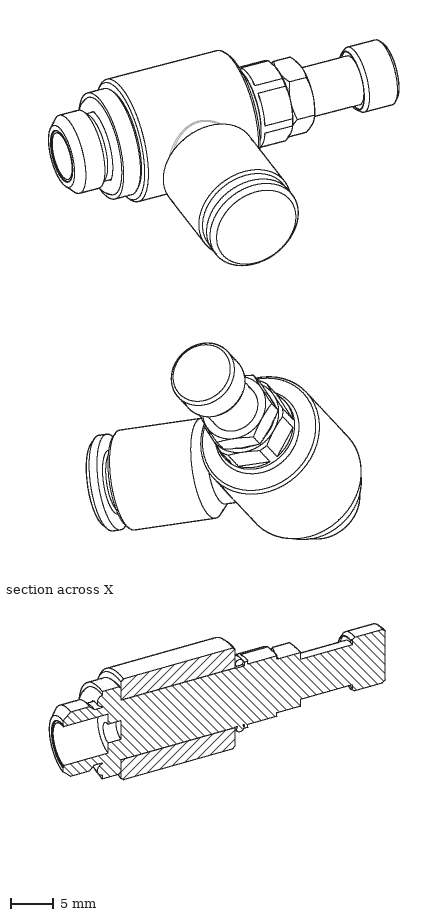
import cadquery as cq
import math


overall_width = 30.2
sleeve_dia = 15.0
sleeve_length = 15.0
sleeve_chamfer = 0.35
bore_dia = 8.75

port_neck_dia = 9.0
port_dia = 12.0
port_cone_start = 7.7
port_cone_end = port_cone_start + (port_dia - port_neck_dia) / 2
port_end = 19.75
port_chamfer = 0.35
port_root_fillet = 0.15

ring_neck_dia = 7.1
ring_dia = 11.5
ring_flare = 0.3
ring_flange_start = 21.1
ring_end = overall_width - sleeve_dia / 2
ring_chamfer = 0.6

collar_dia = 13.0
collar_top = -sleeve_length / 2
collar_chamfer = 0.25
collar_bottom = -9.93
seal_dia = 12.0
seal_section = 1.85
seal_bottom = -10.6
undercut_dia = 8.3
undercut_bottom = -10.95
thread_dia = 9.6
thread_end_chamfer = 1.0
spindle_bottom = -15.1
port_bore_dia = 5.7
counterbore_dia = 6.15
mouth_chamfer = 0.1
port_bore_depth = 5.9
needle_hole_dia = 2.7
needle_hole_depth = 1.7

clip_top = 8.65
clip_dia = 10.5
clip_section = 1.0
clip_gap = 0.5
flange_dia = 9.85
hex_bottom = 9.15
hex_top = 12.95
hex_flats = 9.0
nut_bottom = 13.15
nut_top = 16.05
nut_flats = 8.0
hex_bevel_angle = 30
stem_dia = 6.0
knob_dia = 8.0
knob_bottom = 22.65
knob_top = 27.15
knob_top_chamfer = 0.4
knob_bottom_dia = 7.25
knob_recess_dia = 7.1
knob_recess_depth = 0.2
knob_bottom_chamfer_axial = 0.5


def revolve_y(outline):
    """Solid of revolution about Y from (radius, y) points."""
    return cq.Workplane("XY").polyline(outline).close().revolve(360, (0, 0, 0), (0, 1, 0))


def rod(dia, start, end):
    """Cylinder on the Y axis between two stations."""
    return cq.Workplane("XZ", origin=(0, start, 0)).circle(dia / 2).extrude(start - end)


def torus_y(outer_dia, section_dia, station):
    """Ring of round section about the Y axis."""
    axis = cq.Vector(0, 1, 0)
    centre = cq.Vector(0, station, 0)
    ring = cq.Solid.makeTorus((outer_dia - section_dia) / 2, section_dia / 2, centre, axis)
    return cq.Workplane(ring)


def make_sleeve():
    """Chamfered cylinder, solid before the spindle bore is cut."""
    sleeve = rod(sleeve_dia, -sleeve_length / 2, sleeve_length / 2)
    return sleeve.faces("<Y or >Y").chamfer(sleeve_chamfer)


def make_port():
    """Tube port and release ring, revolved about X."""
    outline = [
        (0, 0),
        (0, port_neck_dia / 2),
        (port_cone_start, port_neck_dia / 2),
        (port_cone_end, port_dia / 2),
        (port_end - port_chamfer, port_dia / 2),
        (port_end, port_dia / 2 - port_chamfer),
        (port_end, ring_neck_dia / 2),
        (ring_flange_start - ring_flare, ring_neck_dia / 2),
        (ring_flange_start, ring_neck_dia / 2 + ring_flare),
        (ring_flange_start, ring_dia / 2),
        (ring_end - ring_chamfer, ring_dia / 2),
        (ring_end, ring_dia / 2 - ring_chamfer),
        (ring_end, 0),
    ]
    return cq.Workplane("XY").polyline(outline).close().revolve(360, (0, 0, 0), (1, 0, 0))


def make_housing():
    """Sleeve and tube port as one solid, bored for the spindle journal."""
    bore = rod(bore_dia, -sleeve_length / 2, sleeve_length / 2)
    housing = make_sleeve().union(make_port())
    root_edges = housing.edges().filter(lambda edge: edge.geomType() == "BSPLINE")
    return root_edges.fillet(port_root_fillet).cut(bore)


def make_threaded_end():
    """Collar, round seal set into its underside, undercut and thread envelope."""
    thread_top = undercut_bottom - (thread_dia - undercut_dia) / 2
    outline = [
        (0, collar_top),
        (collar_dia / 2 - collar_chamfer, collar_top),
        (collar_dia / 2, collar_top - collar_chamfer),
        (collar_dia / 2, collar_bottom),
        (undercut_dia / 2, collar_bottom),
        (undercut_dia / 2, undercut_bottom),
        (thread_dia / 2, thread_top),
        (thread_dia / 2, spindle_bottom + thread_end_chamfer),
        (thread_dia / 2 - thread_end_chamfer, spindle_bottom),
        (0, spindle_bottom),
    ]
    seal = torus_y(seal_dia, seal_section, seal_bottom + seal_section / 2)
    return revolve_y(outline).union(seal)


def make_port_bore():
    """Flow bore with a chamfered shallow counterbore and the smaller needle hole behind it."""
    counterbore_floor = spindle_bottom + mouth_chamfer
    bore_floor = spindle_bottom + port_bore_depth
    outline = [
        (0, spindle_bottom),
        (counterbore_dia / 2 + mouth_chamfer, spindle_bottom),
        (counterbore_dia / 2, counterbore_floor),
        (port_bore_dia / 2, counterbore_floor),
        (port_bore_dia / 2, bore_floor),
        (needle_hole_dia / 2, bore_floor),
        (needle_hole_dia / 2, bore_floor + needle_hole_depth),
        (0, bore_floor + needle_hole_depth),
    ]
    return revolve_y(outline)


def make_clip():
    """Round-wire retaining clip above the sleeve, with one gap on the +Z side."""
    clip_middle = clip_top - clip_section / 2
    clip = torus_y(clip_dia, clip_section, clip_middle)
    gap = cq.Workplane("XY", origin=(0, clip_middle, 0)).rect(clip_gap, clip_section)
    return clip.cut(gap.extrude(clip_dia / 2))


def hex_corner_dia(flats):
    """Width across the corners of a hexagon with the given width across flats."""
    return flats / math.cos(math.pi / 6)


def hex_prism(flats, start, end):
    """Hexagon with corners on +X and -X between two stations along Y."""
    base = cq.Workplane("XZ", origin=(0, start, 0)).polygon(6, hex_corner_dia(flats))
    return base.extrude(start - end)


def bevel_envelope(flats, dia, start, end, bevel_start):
    """Cylinder bevelled at its upper end, and at its start if asked, down to the width across flats."""
    drop = (dia - flats) / 2 * math.tan(math.radians(hex_bevel_angle))
    lower = [(flats / 2, start), (dia / 2, start + drop)] if bevel_start else [(dia / 2, start)]
    upper = [(dia / 2, end - drop), (flats / 2, end)]
    return revolve_y([(0, start), *lower, *upper, (0, end)])


def make_hex_body():
    hexagon = hex_prism(hex_flats, hex_bottom, hex_top)
    envelope = bevel_envelope(hex_flats, flange_dia, hex_bottom, hex_top, bevel_start=False)
    return hexagon.intersect(envelope)


def make_nut():
    corner_dia = hex_corner_dia(nut_flats)
    hexagon = hex_prism(nut_flats, nut_bottom, nut_top)
    envelope = bevel_envelope(nut_flats, corner_dia, nut_bottom, nut_top, bevel_start=True)
    return hexagon.intersect(envelope)


def make_knob():
    """Knob whose underside is recessed around the stem."""
    recess_top = knob_bottom + knob_recess_depth
    outline = [
        (0, recess_top),
        (knob_recess_dia / 2, recess_top),
        (knob_recess_dia / 2, knob_bottom),
        (knob_bottom_dia / 2, knob_bottom),
        (knob_dia / 2, knob_bottom + knob_bottom_chamfer_axial),
        (knob_dia / 2, knob_top - knob_top_chamfer),
        (knob_dia / 2 - knob_top_chamfer, knob_top),
        (0, knob_top),
    ]
    return revolve_y(outline)


def make_spindle():
    spindle = make_threaded_end()
    spindle = spindle.union(rod(bore_dia, collar_top, clip_top))
    spindle = spindle.union(rod(flange_dia, clip_top, hex_bottom))
    spindle = spindle.union(make_clip())
    spindle = spindle.union(make_hex_body())
    spindle = spindle.union(rod(nut_flats, hex_top, nut_bottom))
    spindle = spindle.union(make_nut())
    spindle = spindle.union(rod(stem_dia, nut_top, knob_bottom + knob_recess_depth))
    spindle = spindle.union(make_knob())
    return spindle.cut(make_port_bore())


housing = make_housing()
spindle = make_spindle()
result = cq.Compound.makeCompound([housing.solids().val(), spindle.solids().val()])